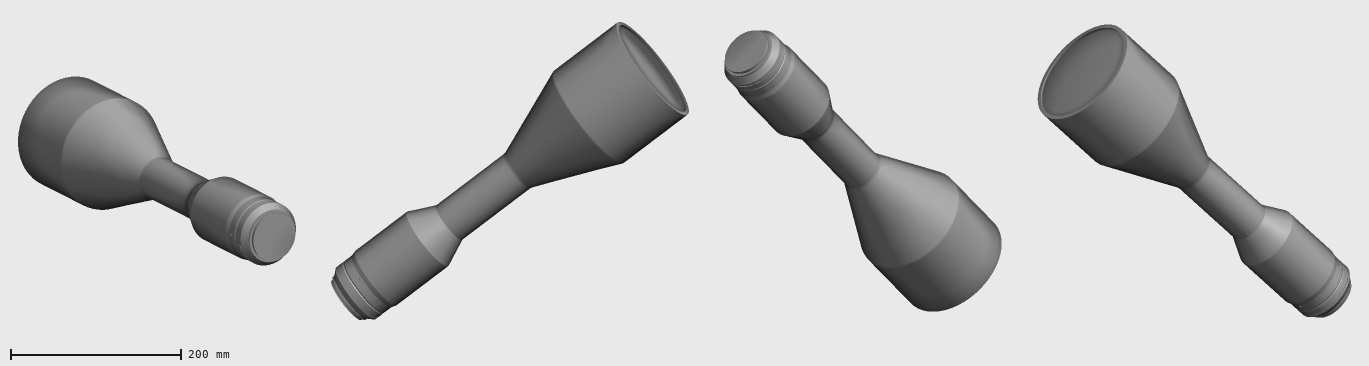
import cadquery as cq

length = 461.0
bell_radius = 68.0
bell_end = 96.0
bell_blend_radius = 4.0
tube_radius = 25.5
tube_start = 203.0
tube_end = 306.0
tube_blend_radius = 7.5
eyepiece_radius = 40.0
eyepiece_start = 338.7
eyepiece_end = 416.5

ring_radius = 38.3
ring_start = 422.5
ring_chamfer_start = 447.0
ring_end = 454.0

groove_center_x = 435.0
groove_width = 2.8
groove_depth = 1.0

undercut_depth = 0.5
flange_radius = 32.0
flange_start = 455.5
flange_end = 456.5
cap_radius = 29.0
cap_start = 459.5
neck_radius = cap_radius - undercut_depth

lens_radius = 63.0
lens_rim_depth = 2.8
lens_bulge = 2.5
lens_sphere_radius = (lens_radius**2 + lens_bulge**2) / (2 * lens_bulge)

screw_count = 3
screw_diameter = 2.5
screw_depth = 2.5
screw_x = 425.5

slot_center_x = 444.0
slot_width = 1.5
slot_depth = 1.0
slot_start_angle = 11
slot_sweep = 184

select_margin = 2.5


def revolve_about_x(profile):
    return profile.revolve(360, (0, 0, 0), (1, 0, 0))


def circle_near(x, radius):
    """Selector for the edge of the given radius lying in the plane at x."""
    reach = radius + select_margin
    return cq.selectors.BoxSelector(
        (x - select_margin, -reach, -reach),
        (x + select_margin, reach, reach),
        boundingbox=True,
    )


def make_groove():
    """V-groove all round the ring."""
    half_width = groove_width / 2
    profile = (
        cq.Workplane("XY")
        .moveTo(groove_center_x - half_width, ring_radius)
        .lineTo(groove_center_x, ring_radius - groove_depth)
        .lineTo(groove_center_x + half_width, ring_radius)
        .close()
    )
    return revolve_about_x(profile)


def make_front_body():
    """Objective bell, cone and tube, with the cone blended at both ends."""
    profile = (
        cq.Workplane("XY")
        .lineTo(0, bell_radius)
        .lineTo(bell_end, bell_radius)
        .lineTo(tube_start, tube_radius)
        .lineTo(tube_end, tube_radius)
        .lineTo(tube_end, 0)
        .close()
    )
    body = revolve_about_x(profile)
    body = body.edges(circle_near(bell_end, bell_radius)).fillet(bell_blend_radius)
    return body.edges(circle_near(tube_start, tube_radius)).fillet(tube_blend_radius)


def make_rear_body():
    """Eyepiece housing, adjusting ring and stepped rear end."""
    profile = (
        cq.Workplane("XY")
        .moveTo(tube_end, 0)
        .lineTo(tube_end, tube_radius)
        .lineTo(eyepiece_start, eyepiece_radius)
        .lineTo(eyepiece_end, eyepiece_radius)
        .lineTo(ring_start, ring_radius)
        .lineTo(ring_chamfer_start, ring_radius)
        .lineTo(ring_end, flange_radius)
        .lineTo(ring_end, flange_radius - undercut_depth)
        .lineTo(flange_start, flange_radius - undercut_depth)
        .lineTo(flange_start, flange_radius)
        .lineTo(flange_end, flange_radius)
        .lineTo(flange_end, neck_radius)
        .lineTo(cap_start, neck_radius)
        .lineTo(cap_start, cap_radius)
        .lineTo(length, cap_radius)
        .lineTo(length, 0)
        .close()
    )
    return revolve_about_x(profile)


def make_lens_recess():
    """Space in front of the lens, bounded by its convex surface."""
    profile = (
        cq.Workplane("XY")
        .lineTo(0, lens_radius)
        .lineTo(lens_rim_depth, lens_radius)
        .radiusArc((lens_rim_depth - lens_bulge, 0), -lens_sphere_radius)
        .close()
    )
    return revolve_about_x(profile)


def make_screw_holes():
    """Blind radial holes, the first one on the -Y side."""
    hole = (
        cq.Workplane("XZ", origin=(screw_x, screw_depth - ring_radius, 0))
        .circle(screw_diameter / 2)
        .extrude(2 * screw_depth)
    )
    holes = hole
    for index in range(1, screw_count):
        holes = holes.union(hole.rotate((0, 0, 0), (1, 0, 0), index * 360 / screw_count))
    return holes


def make_slot():
    """Arc-shaped slot, drawn on the -Y side and turned to its starting angle."""
    profile = (
        cq.Workplane("XY")
        .center(slot_center_x, -ring_radius)
        .rect(slot_width, 2 * slot_depth)
    )
    slot = profile.revolve(slot_sweep, (0, ring_radius, 0), (1, ring_radius, 0))
    return slot.rotate((0, 0, 0), (1, 0, 0), slot_start_angle)


result = (
    make_front_body()
    .union(make_rear_body())
    .cut(make_lens_recess())
    .cut(make_groove())
    .cut(make_screw_holes())
    .cut(make_slot())
)